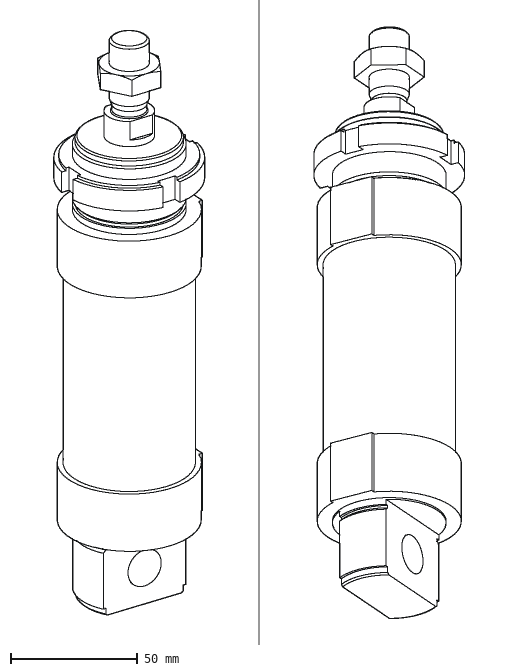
import cadquery as cq
import math


tail_step_z = 3.2
tail_groove_bottom_z = 29.0
tail_groove_top_z = 30.0
tongue_top_z = 32.0
rear_head_bottom_z = 32.9
rear_head_top_z = 58.0
front_head_bottom_z = 144.7
front_head_top_z = 169.7
neck_groove_bottom_z = 172.4
neck_groove_top_z = 174.8
neck_step_z = 198.5
housing_top_z = 202.3

head_d = 57.1
tube_d = 52.5
neck_d = 45.0
groove_d = 43.0
end_d = 43.0
end_bevel = 0.7
neck_step_bevel = 0.7

tongue_width = 21.5
eye_hole_d = 16.0
eye_hole_z = 16.0

port_pad_width = 19.1

rod_d = 20.0
rod_bottom_z = front_head_bottom_z
rod_shoulder_z = 213.3
rod_flat_bottom_z = 205.2
rod_across_flats = 17.0
thread_d = 16.0
thread_bottom_z = 219.0
thread_bevel = 1.0
relief_d = 14.0
relief_top_z = 216.3
relief_flare = 0.5
rod_top_z = 245.2

rod_nut_bottom_z = 226.3
rod_nut_height = 8.0
rod_nut_across_flats = 24.0
rod_nut_bevel_drop = 1.0

mount_nut_d = 59.8
mount_nut_bottom_z = 183.7
mount_nut_height = 10.3
mount_nut_collar_d = 56.0
mount_nut_collar_height = 1.2
mount_nut_slot_width = 8.0
mount_nut_slot_floor_r = 26.2
mount_nut_slot_count = 4


def cylinder(diameter, bottom_z, top_z):
    return cq.Workplane("XY").workplane(offset=bottom_z).circle(diameter / 2).extrude(top_z - bottom_z)


def turned(steps):
    """Solid of revolution about Z through (diameter, z) points listed from bottom to top."""
    outline = cq.Workplane("XZ").moveTo(0, steps[0][1])
    for diameter, z in steps:
        outline = outline.lineTo(diameter / 2, z)
    return outline.lineTo(0, steps[-1][1]).close().revolve(360, (0, 0, 0), (0, 1, 0))


def make_tongue():
    """Round tail cut to a flat tongue, with the cross hole of the eye."""
    groove_cone = (neck_d - groove_d) / 2
    tail = turned([
        (end_d - 2 * end_bevel, 0),
        (end_d, end_bevel),
        (end_d, tail_step_z),
        (neck_d, tail_step_z),
        (neck_d, tail_groove_bottom_z - groove_cone),
        (groove_d, tail_groove_bottom_z),
        (groove_d, tail_groove_top_z),
        (neck_d, tail_groove_top_z),
        (neck_d, tongue_top_z),
    ])
    slab = cq.Workplane("XY").rect(tongue_width, neck_d).extrude(tongue_top_z)
    hole = (
        cq.Workplane("YZ")
        .center(0, eye_hole_z)
        .circle(eye_hole_d / 2)
        .extrude(tongue_width, both=True)
    )
    return tail.intersect(slab).cut(hole)


def make_port_pad(bottom_z, top_z):
    """Block that squares off the +Y side of a head."""
    return (
        cq.Workplane("XY")
        .workplane(offset=bottom_z)
        .center(0, head_d / 4)
        .rect(port_pad_width, head_d / 2)
        .extrude(top_z - bottom_z)
    )


def make_housing():
    body = turned([
        (neck_d, tongue_top_z),
        (neck_d, rear_head_bottom_z),
        (head_d, rear_head_bottom_z),
        (head_d, rear_head_top_z),
        (tube_d, rear_head_top_z),
        (tube_d, front_head_bottom_z),
        (head_d, front_head_bottom_z),
        (head_d, front_head_top_z),
        (neck_d, front_head_top_z),
        (neck_d, neck_groove_bottom_z),
        (groove_d, neck_groove_bottom_z),
        (groove_d, neck_groove_top_z - (neck_d - groove_d) / 2),
        (neck_d, neck_groove_top_z),
        (neck_d, neck_step_z),
        (end_d, neck_step_z + neck_step_bevel),
        (end_d, housing_top_z - end_bevel),
        (end_d - 2 * end_bevel, housing_top_z),
    ])
    body = body.union(make_port_pad(rear_head_bottom_z, rear_head_top_z))
    body = body.union(make_port_pad(front_head_bottom_z, front_head_top_z))
    body = body.union(make_tongue())
    return body.cut(cylinder(rod_d, rod_bottom_z, housing_top_z))


def make_rod():
    rod = turned([
        (rod_d, rod_bottom_z),
        (rod_d, rod_shoulder_z),
        (relief_d + 2 * relief_flare, rod_shoulder_z),
        (relief_d, rod_shoulder_z + relief_flare),
        (relief_d, relief_top_z),
        (thread_d, thread_bottom_z),
        (thread_d, rod_top_z - thread_bevel),
        (thread_d - 2 * thread_bevel, rod_top_z),
    ])
    flat_height = rod_shoulder_z - rod_flat_bottom_z
    for side in (-1, 1):
        flat = (
            cq.Workplane("XY")
            .workplane(offset=rod_flat_bottom_z)
            .center(side * (rod_across_flats + rod_d) / 2, 0)
            .rect(rod_d, rod_d)
            .extrude(flat_height)
        )
        rod = rod.cut(flat)
    return rod


def make_rod_nut():
    """Hexagon with flats facing -X and +X and its top corners bevelled."""
    top_z = rod_nut_bottom_z + rod_nut_height
    corner_d = rod_nut_across_flats / math.cos(math.pi / 6)
    hexagon = (
        cq.Workplane("XY")
        .workplane(offset=rod_nut_bottom_z)
        .transformed(rotate=(0, 0, 90))
        .polygon(6, corner_d)
        .extrude(rod_nut_height)
    )
    bevelled = turned([
        (corner_d, rod_nut_bottom_z),
        (corner_d, top_z - rod_nut_bevel_drop),
        (rod_nut_across_flats, top_z),
    ])
    return hexagon.intersect(bevelled).cut(cylinder(thread_d, rod_nut_bottom_z, top_z))


def make_mount_nut():
    """Ring with a low raised collar on top and four spanner slots in its rim."""
    top_z = mount_nut_bottom_z + mount_nut_height
    nut = turned([
        (mount_nut_d, mount_nut_bottom_z),
        (mount_nut_d, top_z - mount_nut_collar_height),
        (mount_nut_collar_d, top_z - mount_nut_collar_height),
        (mount_nut_collar_d, top_z),
    ])
    slot_depth = mount_nut_d / 2 - mount_nut_slot_floor_r
    slot = (
        cq.Workplane("XY")
        .workplane(offset=mount_nut_bottom_z)
        .center(mount_nut_slot_floor_r + slot_depth / 2, 0)
        .rect(slot_depth, mount_nut_slot_width)
        .extrude(mount_nut_height)
    )
    for index in range(mount_nut_slot_count):
        nut = nut.cut(slot.rotate((0, 0, 0), (0, 0, 1), index * 360 / mount_nut_slot_count))
    return nut.cut(cylinder(neck_d, mount_nut_bottom_z, top_z))


housing = make_housing()
rod = make_rod()
rod_nut = make_rod_nut()
mount_nut = make_mount_nut()

result = cq.Compound.makeCompound([housing.val(), rod.val(), rod_nut.val(), mount_nut.val()])